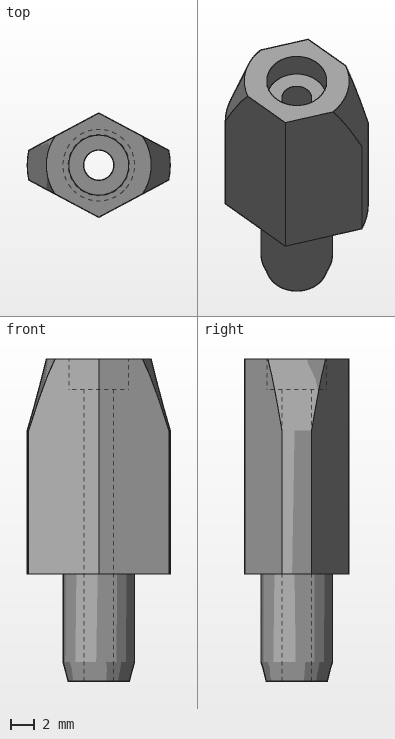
import cadquery as cq
import math

total_height = 27.0
pin_length = 9.0
pin_diameter = 6.0
pin_taper_height = 1.62
body_diameter = 12.0
body_width = 8.75
side_angle = 28.1
taper_angle = 15.0
body_taper_height = 6.0
counterbore_diameter = 5.02
counterbore_depth = 2.56
bore_diameter = 2.5

body_radius = body_diameter / 2
pin_radius = pin_diameter / 2
taper_slope = math.tan(math.radians(taper_angle))
rhombus_length = body_width / math.tan(math.radians(side_angle))
shoulder_height = total_height - body_taper_height
body_top_radius = body_radius - body_taper_height * taper_slope
pin_tip_radius = pin_radius - pin_taper_height * taper_slope


def revolve_profile(points):
    """Revolve a closed (radius, height) profile about the Z axis."""
    return cq.Workplane("XZ").polyline(points).close().revolve(360, (0, 0), (0, 1))


def make_body():
    """Rhombic prism trimmed to a round envelope with a conical top."""
    prism = (
        cq.Workplane("XY", origin=(0, 0, pin_length))
        .polyline([
            (rhombus_length / 2, 0),
            (0, body_width / 2),
            (-rhombus_length / 2, 0),
            (0, -body_width / 2),
        ])
        .close()
        .extrude(total_height - pin_length)
    )
    envelope = revolve_profile([
        (0, pin_length),
        (body_radius, pin_length),
        (body_radius, shoulder_height),
        (body_top_radius, total_height),
        (0, total_height),
    ])
    return prism.intersect(envelope)


def make_pin():
    """Round locating pin with a tapered tip."""
    return revolve_profile([
        (0, 0),
        (pin_tip_radius, 0),
        (pin_radius, pin_taper_height),
        (pin_radius, pin_length),
        (0, pin_length),
    ])


result = (
    make_body()
    .union(make_pin())
    .faces(">Z")
    .workplane(origin=(0, 0, total_height))
    .cboreHole(bore_diameter, counterbore_diameter, counterbore_depth)
)